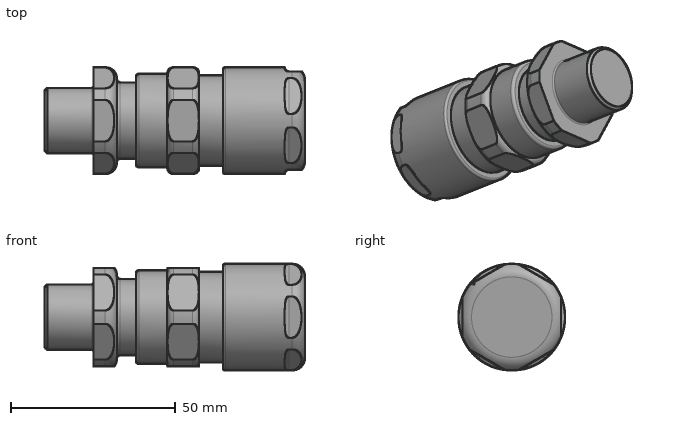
import cadquery as cq
import math

overall_length = 79.3
outer_diameter = 32.5
across_flats = 30.0
flat_count = 6
flat_spacing = 360 / flat_count
outer_radius = outer_diameter / 2
flat_distance = across_flats / 2

spigot_radius = 20.0 / 2
spigot_chamfer = 0.9
spigot_root_fillet = 0.5
flange_start = 14.9
flange_end = 22.05
flange_rounding = 3.6
neck_radius = 23.3 / 2
neck_fillet = 0.95
entry_end = 27.8

sleeve_radius = 28.55 / 2
sleeve_rounding = 0.95
hexagon_start = 37.35
hexagon_end = 47.1
hexagon_rounding = outer_radius - sleeve_radius
collar_radius = 27.7 / 2
body_end = 54.3

cap_front_rounding = 0.7
cap_end_radius = 24.5 / 2
cap_end_rounding = outer_radius - cap_end_radius
flat_relief_radius = outer_radius - flat_distance
flat_start = 73.1

ARC_MIDDLE = math.sqrt(0.5)


def arc_to(profile, center, radius, middle_direction, end):
    """Add a quarter arc that bulges diagonally from its center, ending at the given point."""
    along, outward = middle_direction
    middle = (
        center[0] + along * radius * ARC_MIDDLE,
        center[1] + outward * radius * ARC_MIDDLE,
    )
    return profile.threePointArc(middle, end)


def revolve_about_x(profile):
    """Close a half profile (distance along X, radius) and spin it about the X axis."""
    return profile.close().revolve(360, (0, 0, 0), (1, 0, 0))


def hexagon_prism(start, end):
    """Hexagonal bar along X with one pair of flats facing up and down."""
    across_corners = across_flats / math.cos(math.radians(flat_spacing / 2))
    return (
        cq.Workplane("YZ", origin=(start, 0, 0))
        .polygon(flat_count, across_corners)
        .extrude(end - start)
    )


def make_entry_item():
    spigot = cq.Workplane("XY").lineTo(0, spigot_radius - spigot_chamfer)
    spigot = spigot.lineTo(spigot_chamfer, spigot_radius)
    root_start = flange_start - spigot_root_fillet
    root_radius = spigot_radius + spigot_root_fillet
    spigot = spigot.lineTo(root_start, spigot_radius)
    spigot = arc_to(
        spigot, (root_start, root_radius), spigot_root_fillet, (1, -1), (flange_start, root_radius)
    )
    spigot = revolve_about_x(spigot.lineTo(flange_start, 0))

    rounding_start = flange_end - flange_rounding
    rounding_foot = outer_radius - flange_rounding
    flange = cq.Workplane("XY").moveTo(flange_start, 0).lineTo(flange_start, outer_radius)
    flange = flange.lineTo(rounding_start, outer_radius)
    flange = arc_to(
        flange, (rounding_start, rounding_foot), flange_rounding, (1, 1), (flange_end, rounding_foot)
    )
    flange = revolve_about_x(flange.lineTo(flange_end, 0))
    flange = flange.intersect(hexagon_prism(flange_start, flange_end))

    fillet_end = flange_end + neck_fillet
    fillet_top = neck_radius + neck_fillet
    neck = cq.Workplane("XY").moveTo(flange_end, 0).lineTo(flange_end, fillet_top)
    neck = arc_to(
        neck, (fillet_end, fillet_top), neck_fillet, (-1, -1), (fillet_end, neck_radius)
    )
    neck = revolve_about_x(neck.lineTo(entry_end, neck_radius).lineTo(entry_end, 0))
    return spigot.union(flange).union(neck)


def make_main_body():
    front_corner = sleeve_radius - sleeve_rounding
    rounding_end = entry_end + sleeve_rounding
    sleeve = cq.Workplane("XY").moveTo(entry_end, 0).lineTo(entry_end, front_corner)
    sleeve = arc_to(
        sleeve, (rounding_end, front_corner), sleeve_rounding, (-1, 1), (rounding_end, sleeve_radius)
    )
    sleeve = revolve_about_x(sleeve.lineTo(hexagon_start, sleeve_radius).lineTo(hexagon_start, 0))

    front_top = hexagon_start + hexagon_rounding
    rear_top = hexagon_end - hexagon_rounding
    hexagon = cq.Workplane("XY").moveTo(hexagon_start, 0).lineTo(hexagon_start, sleeve_radius)
    hexagon = arc_to(
        hexagon, (front_top, sleeve_radius), hexagon_rounding, (-1, 1), (front_top, outer_radius)
    )
    hexagon = hexagon.lineTo(rear_top, outer_radius)
    hexagon = arc_to(
        hexagon, (rear_top, sleeve_radius), hexagon_rounding, (1, 1), (hexagon_end, sleeve_radius)
    )
    hexagon = revolve_about_x(hexagon.lineTo(hexagon_end, 0))
    hexagon = hexagon.intersect(hexagon_prism(hexagon_start, hexagon_end))

    collar = (
        cq.Workplane("YZ", origin=(hexagon_end, 0, 0))
        .circle(collar_radius)
        .extrude(body_end - hexagon_end)
    )
    return sleeve.union(hexagon).union(collar)


def make_flat_cutter():
    """Cutter for the upper wrench flat, with a concave run-out at its inner end."""
    run_out_end = flat_start + flat_relief_radius
    cutter = cq.Workplane("XZ", origin=(0, outer_radius, 0)).moveTo(flat_start, outer_radius)
    cutter = arc_to(
        cutter, (run_out_end, outer_radius), flat_relief_radius, (-1, -1), (run_out_end, flat_distance)
    )
    cutter = cutter.lineTo(overall_length, flat_distance).lineTo(overall_length, outer_radius)
    return cutter.close().extrude(outer_diameter)


def make_cap_nut():
    front_corner = outer_radius - cap_front_rounding
    front_top = body_end + cap_front_rounding
    rear_top = overall_length - cap_end_rounding
    cap = cq.Workplane("XY").moveTo(body_end, 0).lineTo(body_end, front_corner)
    cap = arc_to(cap, (front_top, front_corner), cap_front_rounding, (-1, 1), (front_top, outer_radius))
    cap = cap.lineTo(rear_top, outer_radius)
    cap = arc_to(
        cap, (rear_top, cap_end_radius), cap_end_rounding, (1, 1), (overall_length, cap_end_radius)
    )
    cap = revolve_about_x(cap.lineTo(overall_length, 0))

    cutter = make_flat_cutter()
    for index in range(flat_count):
        angle = (index + 0.5) * flat_spacing
        cap = cap.cut(cutter.rotate((0, 0, 0), (1, 0, 0), angle))
    return cap


entry_item = make_entry_item()
main_body = make_main_body()
cap_nut = make_cap_nut()

result = cq.Compound.makeCompound([entry_item.val(), main_body.val(), cap_nut.val()])